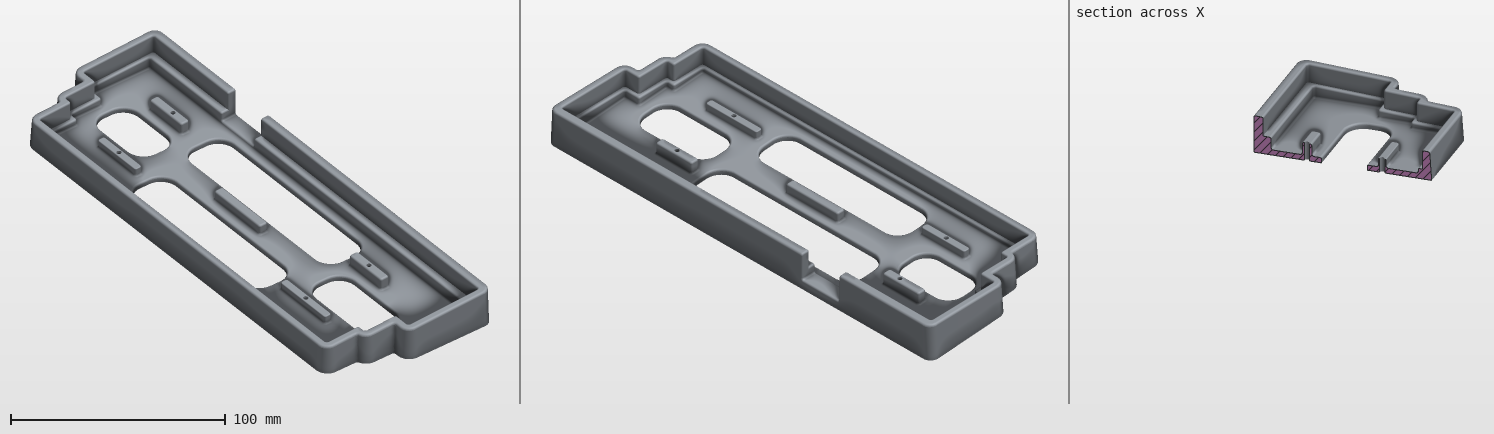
import cadquery as cq
import math

LENGTH = 249.5
DEPTH = 89.8
HEIGHT = 20.0
BASE_TILT = 3.0
FLOOR_THICKNESS = 3.0
WALL_LEAN = 1.0
RIM_RADIUS = 1.2
EDGE_RADIUS = 1.0

STEPS = [
    (LENGTH / 2, 37.7),
    (115.5, 19.2),
    (110.8, 0.0),
]
BACK_CORNER_RADIUS = 5.0
FRONT_CORNER_RADIUS = 6.5
STEP_CORNER_RADIUS = 1.2

RIM_WIDTH = 5.0
LEDGE_Z = 10.0
LOWER_WALL = 7.0
LOWER_BACK_WALL = 9.0
RECESS_CORNER_RADIUS = 1.2

NOTCH_LEFT = -64.9
NOTCH_WIDTH = 24.0
NOTCH_Z = 5.0

OPENING_CORNER_RADIUS = 9.0
OPENINGS = [
    (-58.6, 49.7, 51.1, 76.0),
    (-52.0, 44.2, 12.5, 36.2),
    (-103.3, -65.5, 32.7, 55.5),
    (56.0, 102.5, 32.7, 55.5),
]

RIB_TOP_Z = 11.0
RIB_CORNER_RADIUS = 1.2
RIBS = [
    (-92.8, -69.4, 62.9, 5.0, 1.0),
    (54.5, 77.8, 62.9, 5.0, 1.0),
    (-22.0, 11.7, 44.0, 5.0, 1.0),
    (-85.0, -57.1, 25.0, 4.0, 0.5),
    (49.7, 82.5, 25.0, 4.0, 0.5),
]

RIB_HOLE_DIAMETER = 2.42
RIB_HOLES = [(-78.3, 62.9), (66.0, 62.9), (-71.5, 25.0), (66.0, 25.0)]

TILT = math.radians(BASE_TILT)
BASE_NORMAL = cq.Vector(0, math.sin(TILT), math.cos(TILT))
UP = cq.Vector(0, 0, 1)
OVERCUT = 2 * HEIGHT
SELECTION_MARGIN = 0.2


def plane_above_base(lift):
    """Plane parallel to the tilted base; local y = 0 lies along the back."""
    origin = cq.Vector(0, DEPTH, 0) + BASE_NORMAL * lift
    return cq.Plane(origin, (1, 0, 0), BASE_NORMAL)


def space_above(plane):
    """Slab that covers the whole tray on the upper side of a plane."""
    return cq.Workplane(plane).rect(2 * LENGTH, 4 * DEPTH).extrude(OVERCUT)


def inner_loop(face):
    """The shorter of the two boundary loops of a ring-shaped face."""
    return face.wires(cq.selectors.LengthNthSelector(0))


def step_wire(plane, half_width, front, front_radius):
    """Rounded rectangle on a plane, from local y = 0 at the back to y = front."""
    arc_share = 1 - math.sqrt(0.5)
    back_mid = BACK_CORNER_RADIUS * arc_share
    front_mid = front_radius * arc_share
    right, left = half_width, -half_width
    front_start = front + front_radius
    outline = (
        cq.Workplane(plane)
        .moveTo(left + front_radius, front)
        .lineTo(right - front_radius, front)
        .threePointArc((right - front_mid, front + front_mid), (right, front_start))
        .lineTo(right, -BACK_CORNER_RADIUS)
        .threePointArc((right - back_mid, -back_mid), (right - BACK_CORNER_RADIUS, 0))
        .lineTo(left + BACK_CORNER_RADIUS, 0)
        .threePointArc((left + back_mid, -back_mid), (left, -BACK_CORNER_RADIUS))
        .lineTo(left, front_start)
        .threePointArc((left + front_mid, front + front_mid), (left + front_radius, front))
        .close()
    )
    return outline.wires().val()


def make_block():
    """Solid stepped block: front and side walls lean inward, the back wall is upright."""
    top_plane = cq.Plane((0, DEPTH, HEIGHT), (1, 0, 0), UP)
    top_radius = FRONT_CORNER_RADIUS - WALL_LEAN
    block = cq.Workplane("XY")
    for half_width, front_y in STEPS:
        front = front_y - DEPTH
        bottom_front = front / math.cos(TILT)
        bottom = step_wire(plane_above_base(0), half_width, bottom_front, FRONT_CORNER_RADIUS)
        top = step_wire(top_plane, half_width - WALL_LEAN, front + WALL_LEAN, top_radius)
        block = block.union(cq.Workplane(cq.Solid.makeLoft([bottom, top], True)))
    return block


def round_step_corners(block):
    """Fillet the upright inside corners where one rectangle meets the next."""
    reach = FRONT_CORNER_RADIUS / 3
    for (_, y), (x, _) in zip(STEPS, STEPS[1:]):
        for side in (-1, 1):
            box = cq.selectors.BoxSelector(
                (side * x - reach, y - reach, LEDGE_Z - reach),
                (side * x + reach, y + reach, LEDGE_Z + reach),
            )
            block = block.edges(box).fillet(STEP_CORNER_RADIUS)
    return block


def make_recess(wall, back_wall, bottom_plane):
    """Upright stepped prism above a plane, inset from the base outline."""
    recess = cq.Workplane("XY")
    for half_width, front_y in STEPS:
        width = 2 * (half_width - wall)
        front = front_y + wall
        depth = DEPTH - back_wall - front
        step = cq.Workplane("XY").box(width, depth, OVERCUT, centered=(True, False, False))
        recess = recess.union(step.translate((0, front, 0)))
    recess = recess.edges("|Z").fillet(RECESS_CORNER_RADIUS)
    return recess.intersect(space_above(bottom_plane))


def make_rib(x_min, x_max, y, width, edge_radius):
    """Upright rib rooted in the floor, with rounded corners and top edges."""
    rib = cq.Workplane("XY").box(x_max - x_min, width, RIB_TOP_Z, centered=(True, True, False))
    rib = rib.edges("|Z").fillet(RIB_CORNER_RADIUS)
    rib = rib.faces(">Z").edges().fillet(edge_radius)
    rib = rib.translate(((x_min + x_max) / 2, y, 0))
    return rib.intersect(space_above(plane_above_base(FLOOR_THICKNESS / 2)))


def make_opening(x_min, x_max, y_min, y_max):
    """Upright rounded rectangle that cuts through the floor."""
    cutter = cq.Workplane("XY").box(x_max - x_min, y_max - y_min, OVERCUT)
    cutter = cutter.edges("|Z").fillet(OPENING_CORNER_RADIUS)
    return cutter.translate(((x_min + x_max) / 2, (y_min + y_max) / 2, 0))


def cut_notch(tray):
    """Cut the notch with rounded lower corners, then round the edges of its mouth."""
    depth = LOWER_BACK_WALL + EDGE_RADIUS
    cutter = cq.Workplane("XY").box(NOTCH_WIDTH, 2 * depth, OVERCUT, centered=(False, True, False))
    cutter = cutter.edges("|Y and <Z").fillet(EDGE_RADIUS)
    tray = tray.cut(cutter.translate((NOTCH_LEFT, DEPTH, NOTCH_Z)))
    right = NOTCH_LEFT + NOTCH_WIDTH
    in_notch = cq.selectors.BoxSelector(
        (NOTCH_LEFT - SELECTION_MARGIN, DEPTH - depth, NOTCH_Z - SELECTION_MARGIN),
        (right + SELECTION_MARGIN, DEPTH + SELECTION_MARGIN, HEIGHT + SELECTION_MARGIN),
        boundingbox=True,
    )
    low_mid_y = DEPTH - LOWER_BACK_WALL / 2
    corner_seams = cq.selectors.BoxSelector(
        (NOTCH_LEFT - SELECTION_MARGIN, low_mid_y - EDGE_RADIUS, NOTCH_Z - SELECTION_MARGIN),
        (right + SELECTION_MARGIN, low_mid_y + EDGE_RADIUS, NOTCH_Z + EDGE_RADIUS + SELECTION_MARGIN),
    )
    return tray.edges(in_notch - corner_seams).fillet(EDGE_RADIUS)


tray = round_step_corners(make_block())
tray = tray.faces(">Z").edges().fillet(RIM_RADIUS)

ledge_plane = cq.Plane((0, DEPTH, LEDGE_Z), (1, 0, 0), UP)
tray = tray.cut(make_recess(RIM_WIDTH, RIM_WIDTH, ledge_plane))
tray = inner_loop(tray.faces(">Z")).fillet(EDGE_RADIUS)

tray = tray.cut(make_recess(LOWER_WALL, LOWER_BACK_WALL, plane_above_base(FLOOR_THICKNESS)))
ledge = tray.faces(cq.selectors.DirectionNthSelector(UP, 0))
tray = inner_loop(ledge).fillet(EDGE_RADIUS)

for rib in RIBS:
    tray = tray.union(make_rib(*rib))
for opening in OPENINGS:
    tray = tray.cut(make_opening(*opening))
floor = tray.faces(cq.selectors.DirectionNthSelector(BASE_NORMAL, 1))
tray = floor.edges().fillet(EDGE_RADIUS)

tray = cut_notch(tray)
rib_holes = cq.Workplane("XY").pushPoints(RIB_HOLES).circle(RIB_HOLE_DIAMETER / 2).extrude(HEIGHT)
result = tray.cut(rib_holes)